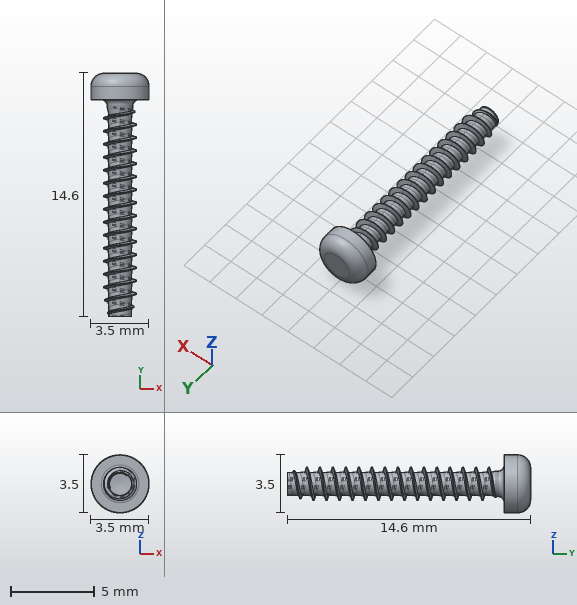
import cadquery as cq
import math


head_radius = 1.75
head_height = 1.6
head_edge_radius = head_height / 2
underside_chamfer = 0.03

shank_length = 13.0
core_radius = 0.69
neck_radius = 0.77
neck_fillet = 0.36
neck_end_depth = 0.5
neck_cone_length = 0.35
tip_hollow_depth = 0.08

pitch = 0.78
crest_radius = 1.0
crest_width = 0.03
head_foot_offset = 0.13
tip_foot_offset = 0.09
tip_foot_radius = 0.73
root_slope_end_offset = 0.48
root_burial = 0.06
slope_burial = 0.005
first_crest_depth = 0.71

thread_start_depth = 0.45
full_height_start_depth = first_crest_depth + pitch / 4
full_height_turns = 14
full_height_end_depth = full_height_start_depth + full_height_turns * pitch
thread_end_depth = 12.85
start_crest_radius = 0.78
end_crest_radius = 0.73
end_foot_radius = core_radius - slope_burial


def make_body():
    """Head, neck and core as one turned profile, revolved about the Y axis."""
    arc_middle = head_edge_radius * math.sqrt(0.5)
    head_arc_base = head_height - head_edge_radius
    head_flat_radius = head_radius - head_edge_radius
    fillet_middle = neck_fillet * (1 - math.sqrt(0.5))
    profile = (
        cq.Workplane("ZY")
        .moveTo(0, head_height)
        .lineTo(head_flat_radius, head_height)
        .threePointArc(
            (head_flat_radius + arc_middle, head_arc_base + arc_middle),
            (head_radius, head_arc_base),
        )
        .lineTo(head_radius, underside_chamfer)
        .lineTo(head_radius - underside_chamfer, 0)
        .lineTo(neck_radius + neck_fillet, 0)
        .threePointArc(
            (neck_radius + fillet_middle, -fillet_middle),
            (neck_radius, -neck_fillet),
        )
        .lineTo(neck_radius, -neck_end_depth)
        .lineTo(core_radius, -neck_end_depth - neck_cone_length)
        .lineTo(core_radius, -shank_length)
        .lineTo(0, tip_hollow_depth - shank_length)
        .close()
    )
    return profile.revolve(360, (0, 0, 0), (0, 1, 0))


def helix_edge(start_depth, end_depth, offset, start_radius, end_radius):
    """One right-handed helical edge about local Z, shifted along it by offset."""
    height = end_depth - start_depth
    start_angle = 360 * (start_depth - first_crest_depth) / pitch
    base = cq.Vector(0, 0, start_depth + offset)
    if start_radius == end_radius:
        helix = cq.Wire.makeHelix(pitch, height, start_radius, center=base)
    else:
        taper = math.atan2(end_radius - start_radius, height)
        slope = 1 / math.cos(taper)
        helix = cq.Wire.makeHelix(
            pitch * slope, height * slope, start_radius, center=base, angle=math.degrees(taper)
        )
    return helix.rotate(cq.Vector(0, 0, 0), cq.Vector(0, 0, 1), start_angle).Edges()[0]


def thread_section(start_depth, end_depth, start_crest, end_crest, end_foot=tip_foot_radius):
    """Helical edges through the corners of the thread profile over one stretch of depth."""
    buried_radius = core_radius - root_burial
    slope_end_radius = core_radius - slope_burial
    corners = [
        (-head_foot_offset, buried_radius, buried_radius),
        (-crest_width / 2, start_crest, end_crest),
        (crest_width / 2, start_crest, end_crest),
        (tip_foot_offset, tip_foot_radius, end_foot),
        (root_slope_end_offset, slope_end_radius, slope_end_radius),
        (root_slope_end_offset, buried_radius, buried_radius),
    ]
    return [helix_edge(start_depth, end_depth, *corner) for corner in corners]


def section_cap(edges, at_start):
    """Flat face closing the thread profile at one end of its helical edges."""
    points = [edge.startPoint() if at_start else edge.endPoint() for edge in edges]
    return cq.Face.makeFromWires(cq.Wire.makePolygon(points, close=True))


def make_thread():
    """Thread ridge with a run-in at the neck and a run-out at the tip."""
    run_in = thread_section(thread_start_depth, full_height_start_depth, start_crest_radius, crest_radius)
    run_out = thread_section(
        full_height_end_depth, thread_end_depth, crest_radius, end_crest_radius, end_foot_radius
    )
    sections = [run_in]
    for turn in range(full_height_turns):
        turn_depth = full_height_start_depth + turn * pitch
        sections.append(thread_section(turn_depth, turn_depth + pitch, crest_radius, crest_radius))
    sections.append(run_out)
    faces = [section_cap(run_in, True), section_cap(run_out, False)]
    for edges in sections:
        for edge, next_edge in zip(edges, edges[1:] + edges[:1]):
            faces.append(cq.Face.makeRuledSurface(edge, next_edge))
    ridge = cq.Solid.makeSolid(cq.Shell.makeShell(faces))
    shank_space = cq.Solid.makeCylinder(head_radius, shank_length)
    to_screw_axis = cq.Location(cq.Plane.XZ())
    return cq.Workplane(ridge.intersect(shank_space).moved(to_screw_axis))


result = make_body().union(make_thread()).solids()